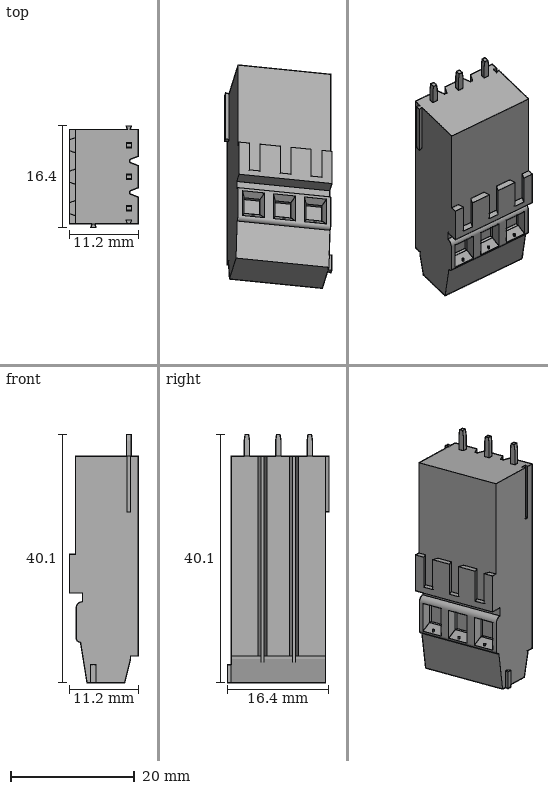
import cadquery as cq

POLE_COUNT = 3
PITCH = 5.08
LENGTH = POLE_COUNT * PITCH
HALF_LENGTH = LENGTH / 2
OVERALL_WIDTH = 16.44
DEPTH = 11.16
BODY_HEIGHT = 36.6
TOTAL_HEIGHT = 40.1

UPPER_FACE_X = 1.0
BAND_BOTTOM_Z = 14.5
BAND_TOP_Z = 20.8
NECK_X = 2.1
WINDOW_FACE_X = 1.1
BROW_TOP_Z = 13.1
BROW_RADIUS = NECK_X - WINDOW_FACE_X
SILL_RADIUS = 0.7
SILL_BOTTOM_Z = 6.55
FOOT_FRONT_X = 2.85
FOOT_BACK_X = 8.95
BACK_STEP_X = 9.9
BACK_STEP_Z = 4.3
BACK_SLOPE_TOP_Z = 3.8

SLOT_BOTTOM_Z = 15.55
SLOT_FRONT_WIDTH = 1.75
SLOT_FLOOR_WIDTH = 2.45

WINDOW_WIDTH = 3.6
WINDOW_BOTTOM_Z = SILL_BOTTOM_Z + SILL_RADIUS
WINDOW_TOP_Z = BROW_TOP_Z - BROW_RADIUS
FUNNEL_DEPTH = 1.12
FUNNEL_SIDE_INSET = 0.49
FUNNEL_TOP_INSET = 0.57
FUNNEL_FLOOR_RISE = 1.25
POCKET_DEPTH = 0.5
STUD_DIAMETER = 0.35
STUD_Z = 7.65
STUD_LENGTH = 0.36

PIN_X = 9.62
PIN_THICKNESS = 0.8
PIN_WIDTH = 0.9
PIN_TIP_WIDTH = 0.6
PIN_TIP_LENGTH = 1.0

BACK_GROOVE_DEPTH = 1.36
BACK_GROOVE_MOUTH = 1.5
BACK_GROOVE_FLOOR = 0.45

DOVETAIL_HEIGHT = (OVERALL_WIDTH - LENGTH) / 2
DOVETAIL_NECK = 0.5
DOVETAIL_WIDTH = 0.88
UPPER_DOVETAIL_X = 9.61
UPPER_DOVETAIL_LENGTH = 9.0
LOWER_DOVETAIL_X = 3.9
LOWER_DOVETAIL_LENGTH = 2.95

POLE_CENTERS = [(i - (POLE_COUNT - 1) / 2) * PITCH for i in range(POLE_COUNT)]


def trapezoid_prism(x_start, width_start, x_end, width_end, y, z_bottom, z_top):
    """Upright prism whose width along Y changes from x_start to x_end."""
    return (
        cq.Workplane("XY", origin=(0, y, z_bottom))
        .moveTo(x_start, -width_start / 2)
        .lineTo(x_end, -width_end / 2)
        .lineTo(x_end, width_end / 2)
        .lineTo(x_start, width_start / 2)
        .close()
        .extrude(z_top - z_bottom)
    )


def make_housing():
    """Side profile swept along the full length."""
    return (
        cq.Workplane("XZ", origin=(0, HALF_LENGTH, 0))
        .moveTo(FOOT_FRONT_X, 0)
        .lineTo(FOOT_BACK_X, 0)
        .lineTo(BACK_STEP_X, BACK_SLOPE_TOP_Z)
        .lineTo(BACK_STEP_X, BACK_STEP_Z)
        .lineTo(DEPTH, BACK_STEP_Z)
        .lineTo(DEPTH, BODY_HEIGHT)
        .lineTo(UPPER_FACE_X, BODY_HEIGHT)
        .lineTo(UPPER_FACE_X, BAND_TOP_Z)
        .lineTo(0, BAND_TOP_Z)
        .lineTo(0, BAND_BOTTOM_Z)
        .lineTo(NECK_X, BAND_BOTTOM_Z)
        .lineTo(NECK_X, BROW_TOP_Z)
        .radiusArc((WINDOW_FACE_X, WINDOW_TOP_Z), -BROW_RADIUS)
        .lineTo(WINDOW_FACE_X, WINDOW_BOTTOM_Z)
        .radiusArc((WINDOW_FACE_X + SILL_RADIUS, SILL_BOTTOM_Z), -SILL_RADIUS)
        .close()
        .extrude(LENGTH)
    )


def make_band_slot(y):
    return trapezoid_prism(
        0, SLOT_FRONT_WIDTH, UPPER_FACE_X, SLOT_FLOOR_WIDTH, y, SLOT_BOTTOM_Z, BAND_TOP_Z
    )


def make_back_groove(y):
    return trapezoid_prism(
        DEPTH - BACK_GROOVE_DEPTH, BACK_GROOVE_FLOOR, DEPTH, BACK_GROOVE_MOUTH, y, 0, BODY_HEIGHT
    )


def make_window(y):
    """Funnel that narrows inwards, its floor sloping most, plus the pocket behind it."""
    pocket_width = WINDOW_WIDTH - 2 * FUNNEL_SIDE_INSET
    pocket_bottom = WINDOW_BOTTOM_Z + FUNNEL_FLOOR_RISE
    pocket_top = WINDOW_TOP_Z - FUNNEL_TOP_INSET
    pocket_height = pocket_top - pocket_bottom
    pocket_mid_z = (pocket_top + pocket_bottom) / 2
    window_height = WINDOW_TOP_Z - WINDOW_BOTTOM_Z
    window_mid_z = (WINDOW_TOP_Z + WINDOW_BOTTOM_Z) / 2
    funnel = (
        cq.Workplane("YZ", origin=(WINDOW_FACE_X, y, window_mid_z))
        .rect(WINDOW_WIDTH, window_height)
        .workplane(offset=FUNNEL_DEPTH)
        .center(0, pocket_mid_z - window_mid_z)
        .rect(pocket_width, pocket_height)
        .loft(ruled=True)
    )
    pocket = (
        cq.Workplane("YZ", origin=(WINDOW_FACE_X + FUNNEL_DEPTH, y, pocket_mid_z))
        .rect(pocket_width, pocket_height)
        .extrude(POCKET_DEPTH)
    )
    return funnel.union(pocket)


def make_stud(y):
    """Tiny round upright stud, half buried, on the sloping floor of a window."""
    floor_x = WINDOW_FACE_X + FUNNEL_DEPTH * (STUD_Z - WINDOW_BOTTOM_Z) / FUNNEL_FLOOR_RISE
    return (
        cq.Workplane("XY", origin=(floor_x, y, STUD_Z - STUD_LENGTH / 2))
        .circle(STUD_DIAMETER / 2)
        .extrude(STUD_LENGTH)
    )


def make_pin(y):
    """Flat pin on the top face, its +Y and -Y sides tapering to the tip."""
    shoulder_z = TOTAL_HEIGHT - PIN_TIP_LENGTH
    return (
        cq.Workplane("YZ", origin=(PIN_X - PIN_THICKNESS / 2, y, 0))
        .moveTo(-PIN_WIDTH / 2, BODY_HEIGHT)
        .lineTo(PIN_WIDTH / 2, BODY_HEIGHT)
        .lineTo(PIN_WIDTH / 2, shoulder_z)
        .lineTo(PIN_TIP_WIDTH / 2, TOTAL_HEIGHT)
        .lineTo(-PIN_TIP_WIDTH / 2, TOTAL_HEIGHT)
        .lineTo(-PIN_WIDTH / 2, shoulder_z)
        .close()
        .extrude(PIN_THICKNESS)
    )


def make_dovetail(x, y_neck, direction, z_bottom, length):
    """Upright dovetail widening from its neck along +Y or -Y (direction +1 or -1)."""
    y_wide = y_neck + direction * DOVETAIL_HEIGHT
    return (
        cq.Workplane("XY", origin=(x, 0, z_bottom))
        .moveTo(-DOVETAIL_NECK / 2, y_neck)
        .lineTo(DOVETAIL_NECK / 2, y_neck)
        .lineTo(DOVETAIL_WIDTH / 2, y_wide)
        .lineTo(-DOVETAIL_WIDTH / 2, y_wide)
        .close()
        .extrude(length)
    )


result = make_housing()

for pole_y in POLE_CENTERS:
    result = result.cut(make_band_slot(pole_y))
    result = result.cut(make_window(pole_y))
    result = result.union(make_stud(pole_y))
    result = result.union(make_pin(pole_y))

for pole_y in POLE_CENTERS[:-1]:
    result = result.cut(make_back_groove(pole_y + PITCH / 2))

upper_dovetail_z = BODY_HEIGHT - UPPER_DOVETAIL_LENGTH
result = result.union(
    make_dovetail(UPPER_DOVETAIL_X, HALF_LENGTH, 1, upper_dovetail_z, UPPER_DOVETAIL_LENGTH)
)
result = result.cut(
    make_dovetail(UPPER_DOVETAIL_X, -HALF_LENGTH, 1, upper_dovetail_z, UPPER_DOVETAIL_LENGTH)
)

result = result.union(
    make_dovetail(LOWER_DOVETAIL_X, -HALF_LENGTH, -1, 0, LOWER_DOVETAIL_LENGTH)
)